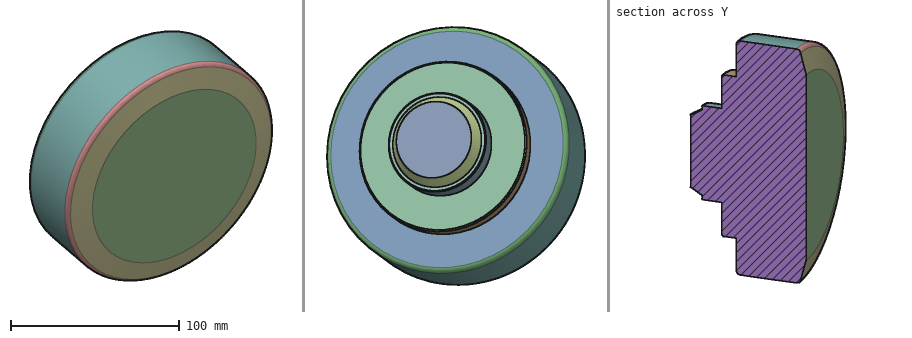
import cadquery as cq
import math

NOSE_LENGTH = 7.3
PLATE_START = 20.0
WHEEL_START = 29.0
TOTAL_LENGTH = 74.0

NOSE_TIP_DIAMETER = 46.2
HUB_DIAMETER = 60.0
PLATE_DIAMETER = 103.0
WHEEL_DIAMETER = 149.0
BACK_FACE_DIAMETER = 118.0

NOSE_ANGLE = 30.0
BACK_ANGLE = 15.0
HUB_CHAMFER = 0.6
PLATE_CHAMFER = 0.9
RIM_FILLET = 3.0


def disc(start, end, diameter):
    """Solid cylinder on the X axis between two axial positions."""
    return cq.Workplane("YZ", origin=(start, 0, 0)).circle(diameter / 2).extrude(end - start)


def make_nose():
    tip_radius = NOSE_TIP_DIAMETER / 2
    base_radius = tip_radius + NOSE_LENGTH * math.tan(math.radians(NOSE_ANGLE))
    profile = [(0, 0), (0, tip_radius), (NOSE_LENGTH, base_radius), (NOSE_LENGTH, 0)]
    return cq.Workplane("XY").polyline(profile).close().revolve(360, (0, 0), (1, 0))


def make_wheel():
    """Wheel with a shallow cone on its back and rounded rims."""
    wheel_radius = WHEEL_DIAMETER / 2
    back_radius = BACK_FACE_DIAMETER / 2
    cone_depth = (wheel_radius - back_radius) * math.tan(math.radians(BACK_ANGLE))
    profile = [
        (WHEEL_START, 0),
        (WHEEL_START, wheel_radius),
        (TOTAL_LENGTH - cone_depth, wheel_radius),
        (TOTAL_LENGTH, back_radius),
        (TOTAL_LENGTH, 0),
    ]
    wheel = cq.Workplane("XY").polyline(profile).close().revolve(360, (0, 0), (1, 0))
    rims = cq.selectors.RadiusNthSelector(-1)
    return wheel.edges(rims).fillet(RIM_FILLET)


hub = disc(NOSE_LENGTH, PLATE_START, HUB_DIAMETER).faces("<X").chamfer(HUB_CHAMFER)
plate = disc(PLATE_START, WHEEL_START, PLATE_DIAMETER).faces("<X").chamfer(PLATE_CHAMFER)

result = make_wheel().union(plate).union(hub).union(make_nose())